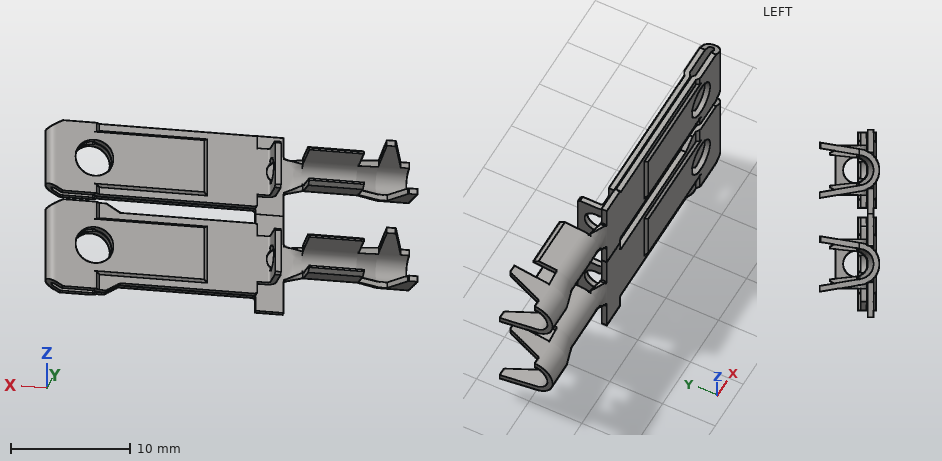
import cadquery as cq
import math


SHEET = 0.5
FOLD_GAP = 0.1
FOLD_Y = SHEET + FOLD_GAP / 2
BACK_Y = SHEET + FOLD_GAP

PITCH = 7.85
CARRIER_BOTTOM = -4.47
CARRIER_SPLIT = 4.22
CARRIER_TOP = 11.27

INSULATION_LENGTH = 2.65
INSULATION_RADIUS = 1.77
INSULATION_SPLAY = 9.5
INSULATION_BOTTOM = -0.5
INSULATION_TOP = 4.53
INSULATION_BASE = 1.2
CLAW_FOOT_INSET = 0.75
CLAW_WIDTH = 0.8
CLAW_CORNER = 0.1

CONDUCTOR_START = 4.4
CONDUCTOR_END = 9.1
CONDUCTOR_RADIUS = 1.55
CONDUCTOR_SPLAY = 6.0
CONDUCTOR_TOP = 3.65
CONDUCTOR_BASE = 1.43
WING_BEVEL_LENGTH = 0.5
WING_BEVEL_DEPTH = 0.28
NECK_HALF_ANGLE = 64.0

CARRIER_START = 10.62
CARRIER_END = 13.0
NECK_HALF_WIDTH = 1.52
CORNER = 0.2
BLADE_END = 31.05
BLADE_HALF_WIDTH = 3.17
WIDE_TIP_HALF_WIDTH = 3.9
FLARE_START = 24.75
FLARE_END = 25.95
TIP_CHAMFER_START = 29.7
TIP_CHAMFER_DEPTH = 0.75
HOLE_X = 27.0
HOLE_RADIUS = 1.6

PAD_HEIGHT = 0.233
PAD_START = 17.3
PAD_END = 27.0
PAD_END_BEVEL = 0.3
PAD_SIDE_BEVEL = 0.22
PAD_HALF_WIDTH = 2.55
STEP_START = 26.55
STEP_BEND = 26.82
STEP_BEND_HEIGHT = 0.2
STEP_OFFSET = 0.12
TIP_RADIUS = FOLD_Y + PAD_HEIGHT
TIP_CENTER_X = BLADE_END - TIP_RADIUS

TAB_X = 11.42
TAB_TOP = 3.2
TAB_HALF_WIDTH = 2.08
TAB_BEND_RADIUS = 0.68
TAB_CHAMFER = 0.22
TAB_HOLE_RADIUS = 1.1
TAB_HOLE_Y = 1.45
LEAF_HOLE_X = 11.1


def sheet_piece(outline, y_start, thickness):
    """Extrude a closed XZ outline towards +Y."""
    return cq.Workplane("XZ", origin=(0, y_start, 0)).polyline(outline).close().extrude(-thickness)


def mirrored(upper_half):
    """Close an outline with its mirror image below the terminal axis."""
    return upper_half + [(x, -z) for x, z in reversed(upper_half)]



def trough_section(plane, radius, splay, bottom, top):
    """Draw a U of sheet thickness whose straight walls lean outward by `splay` degrees."""
    angle = math.radians(splay)
    center = bottom + radius
    inner = radius - SHEET

    def tangent(r):
        return center - r * math.sin(angle), r * math.cos(angle)

    def wall_end(r):
        y, z = tangent(r)
        return top, z + (top - y) * math.tan(angle)

    def below(point):
        return point[0], -point[1]

    return (
        plane.moveTo(*wall_end(radius))
        .lineTo(*tangent(radius))
        .threePointArc((bottom, 0), below(tangent(radius)))
        .lineTo(*below(wall_end(radius)))
        .lineTo(*below(wall_end(inner)))
        .lineTo(*below(tangent(inner)))
        .threePointArc((bottom + SHEET, 0), tangent(inner))
        .lineTo(*wall_end(inner))
        .close()
    )


def insulation_section(plane, top):
    return trough_section(plane, INSULATION_RADIUS, INSULATION_SPLAY, INSULATION_BOTTOM, top)


def conductor_section(plane, top):
    return trough_section(plane, CONDUCTOR_RADIUS, CONDUCTOR_SPLAY, 0, top)


def insulation_crimp():
    """Trough with two staggered claws, one at each end of its length."""
    crimp = insulation_section(cq.Workplane("YZ"), INSULATION_TOP).extrude(INSULATION_LENGTH)
    claw_start = INSULATION_LENGTH - CLAW_WIDTH
    upper_relief = (
        cq.Workplane("XY")
        .polyline([
            (0, INSULATION_BASE),
            (CLAW_FOOT_INSET, INSULATION_BASE),
            (claw_start, INSULATION_TOP - CLAW_CORNER),
            (claw_start + CLAW_CORNER, INSULATION_TOP),
            (0, INSULATION_TOP),
        ])
        .close()
        .extrude(2 * INSULATION_RADIUS)
    )
    middle_x = INSULATION_LENGTH / 2
    lower_relief = upper_relief.rotate((middle_x, 0, 0), (middle_x, 1, 0), 180)
    return crimp.cut(upper_relief).cut(lower_relief)


def insulation_transition():
    """Trough that narrows and rises from the insulation crimp to the conductor crimp."""
    start = insulation_section(cq.Workplane("YZ", origin=(INSULATION_LENGTH, 0, 0)), INSULATION_BASE)
    end = start.workplane(offset=CONDUCTOR_START - INSULATION_LENGTH)
    return conductor_section(end, CONDUCTOR_BASE).loft(ruled=True)


def conductor_crimp():
    """Open barrel with the outer edges of its two wings bevelled."""
    length = CONDUCTOR_END - CONDUCTOR_START
    plane = cq.Workplane("YZ", origin=(CONDUCTOR_START, 0, 0))
    crimp = conductor_section(plane, CONDUCTOR_TOP).extrude(length)
    angle = math.radians(CONDUCTOR_SPLAY)
    bevel_start = CONDUCTOR_TOP - WING_BEVEL_LENGTH
    tangent_y = CONDUCTOR_RADIUS * (1 - math.sin(angle))
    outer_z = CONDUCTOR_RADIUS * math.cos(angle) + (bevel_start - tangent_y) * math.tan(angle)
    bevel = (
        cq.Workplane("YZ", origin=(CONDUCTOR_START, 0, 0))
        .polyline([
            (bevel_start, outer_z),
            (CONDUCTOR_TOP, outer_z - WING_BEVEL_DEPTH),
            (CONDUCTOR_TOP, outer_z + WING_BEVEL_DEPTH),
            (bevel_start, outer_z + WING_BEVEL_DEPTH),
        ])
        .close()
        .extrude(length)
    )
    return crimp.cut(bevel).cut(bevel.mirror("XY"))


def carrier_transition():
    """Sheet that flattens from the conductor arc to the straight edge of the carrier."""
    angle = math.radians(NECK_HALF_ANGLE)

    def arc_end(r):
        return CONDUCTOR_RADIUS - r * math.cos(angle), r * math.sin(angle)

    outer_y, outer_z = arc_end(CONDUCTOR_RADIUS)
    inner_y, inner_z = arc_end(CONDUCTOR_RADIUS - SHEET)
    return (
        cq.Workplane("YZ", origin=(CONDUCTOR_END, 0, 0))
        .moveTo(outer_y, outer_z)
        .threePointArc((0, 0), (outer_y, -outer_z))
        .lineTo(inner_y, -inner_z)
        .threePointArc((SHEET, 0), (inner_y, inner_z))
        .close()
        .workplane(offset=CARRIER_START - CONDUCTOR_END)
        .moveTo(0, NECK_HALF_WIDTH)
        .lineTo(0, -NECK_HALF_WIDTH)
        .lineTo(SHEET, -NECK_HALF_WIDTH)
        .lineTo(SHEET, NECK_HALF_WIDTH)
        .close()
        .loft(ruled=True)
    )



def root_fillet(corner_x, corner_z, side_x, side_z):
    """Fill a concave blank corner; the sides give the directions of the open quadrant."""
    end_x = corner_x + side_x * CORNER
    end_z = corner_z + side_z * CORNER
    bulge = CORNER * (1 - math.sqrt(0.5))
    return (
        cq.Workplane("XZ")
        .moveTo(corner_x, corner_z)
        .lineTo(end_x, corner_z)
        .threePointArc((corner_x + side_x * bulge, corner_z + side_z * bulge), (corner_x, end_z))
        .close()
        .extrude(-SHEET)
    )


def carrier(bottom, top):
    """Flat strip across the terminal, rounded where the neck and the blade leave it."""
    strip = sheet_piece(
        [(CARRIER_START, bottom), (CARRIER_END, bottom), (CARRIER_END, top), (CARRIER_START, top)],
        0, SHEET,
    )
    for side in (1, -1):
        strip = strip.union(root_fillet(CARRIER_START, side * NECK_HALF_WIDTH, -1, side))
        strip = strip.union(root_fillet(CARRIER_END, side * BLADE_HALF_WIDTH, 1, side))
    return strip


def folded_strip(half_width):
    """Sheet folded back on itself, its leaves spreading apart before the round fold."""
    inner_radius = TIP_RADIUS - SHEET

    def back(y):
        return 2 * FOLD_Y - y

    outer = [
        (CARRIER_END, 0),
        (STEP_START, 0),
        (STEP_BEND, -STEP_BEND_HEIGHT),
        (PAD_END, -PAD_HEIGHT),
        (TIP_CENTER_X, -PAD_HEIGHT),
    ]
    inner = [
        (TIP_CENTER_X, SHEET - PAD_HEIGHT),
        (STEP_BEND + STEP_OFFSET, SHEET - PAD_HEIGHT),
        (STEP_START + STEP_OFFSET, SHEET),
        (CARRIER_END, SHEET),
    ]
    profile = cq.Workplane("XY", origin=(0, 0, -half_width)).polyline(outer)
    profile = profile.threePointArc((BLADE_END, FOLD_Y), (TIP_CENTER_X, back(-PAD_HEIGHT)))
    for x, y in reversed(outer[:-1]):
        profile = profile.lineTo(x, back(y))
    for x, y in reversed(inner):
        profile = profile.lineTo(x, back(y))
    profile = profile.threePointArc((TIP_CENTER_X + inner_radius, FOLD_Y), inner[0])
    for x, y in inner[1:]:
        profile = profile.lineTo(x, y)
    return profile.close().extrude(2 * half_width)


def blade_outline(tip_half_width):
    """Blade seen square on: optional flare to a wider tip, then chamfered corners."""
    half = [(CARRIER_END, BLADE_HALF_WIDTH)]
    if tip_half_width > BLADE_HALF_WIDTH:
        half += [(FLARE_START, BLADE_HALF_WIDTH), (FLARE_END, tip_half_width)]
    half += [(TIP_CHAMFER_START, tip_half_width), (BLADE_END, tip_half_width - TIP_CHAMFER_DEPTH)]
    return sheet_piece(mirrored(half), -PAD_HEIGHT, 2 * TIP_RADIUS)


def pad():
    """Raised pad on the front leaf, bevelled at its start and along both sides."""
    lengthwise = (
        cq.Workplane("XY", origin=(0, 0, -PAD_HALF_WIDTH))
        .polyline([
            (PAD_START, 0),
            (PAD_START + PAD_END_BEVEL, -PAD_HEIGHT),
            (PAD_END, -PAD_HEIGHT),
            (PAD_END, 0),
        ])
        .close()
        .extrude(2 * PAD_HALF_WIDTH)
    )
    top_half_width = PAD_HALF_WIDTH - PAD_SIDE_BEVEL
    crosswise = (
        cq.Workplane("YZ", origin=(PAD_START, 0, 0))
        .polyline([
            (0, PAD_HALF_WIDTH),
            (-PAD_HEIGHT, top_half_width),
            (-PAD_HEIGHT, -top_half_width),
            (0, -PAD_HALF_WIDTH),
        ])
        .close()
        .extrude(PAD_END - PAD_START)
    )
    return lengthwise.intersect(crosswise)


def blade(tip_half_width):
    """Folded blade with a pad on each face and a hole through both leaves."""
    body = folded_strip(tip_half_width).intersect(blade_outline(tip_half_width))
    back_corners = cq.selectors.BoxSelector(
        (CARRIER_END - CORNER, BACK_Y, -tip_half_width),
        (CARRIER_END + CORNER, BACK_Y + SHEET, tip_half_width),
    )
    body = body.edges("|Y").edges(back_corners).fillet(CORNER)
    front_pad = pad()
    body = body.union(front_pad).union(front_pad.mirror("XZ", (0, FOLD_Y, 0)))
    hole = (
        cq.Workplane("XZ", origin=(HOLE_X, -PAD_HEIGHT, 0))
        .circle(HOLE_RADIUS)
        .extrude(-2 * TIP_RADIUS)
    )
    return body.cut(hole)


def tab():
    """Upright tab bent from the end of the back leaf, with a hole that runs round the bend."""
    bend_x = TAB_X + TAB_BEND_RADIUS
    bend_y = BACK_Y + TAB_BEND_RADIUS
    inner_radius = TAB_BEND_RADIUS - SHEET
    diagonal = math.sqrt(0.5)
    strip = (
        cq.Workplane("XY", origin=(0, 0, -TAB_HALF_WIDTH))
        .moveTo(CARRIER_END, BACK_Y)
        .lineTo(bend_x, BACK_Y)
        .threePointArc(
            (bend_x - TAB_BEND_RADIUS * diagonal, bend_y - TAB_BEND_RADIUS * diagonal),
            (TAB_X, bend_y),
        )
        .lineTo(TAB_X, TAB_TOP)
        .lineTo(TAB_X + SHEET, TAB_TOP)
        .lineTo(TAB_X + SHEET, bend_y)
        .threePointArc(
            (bend_x - inner_radius * diagonal, bend_y - inner_radius * diagonal),
            (bend_x, BACK_Y + SHEET),
        )
        .lineTo(CARRIER_END, BACK_Y + SHEET)
        .close()
        .extrude(2 * TAB_HALF_WIDTH)
    )
    strip = strip.faces(">Y").edges("|X").chamfer(TAB_CHAMFER)
    tab_hole = (
        cq.Workplane("YZ", origin=(TAB_X, TAB_HOLE_Y, 0))
        .circle(TAB_HOLE_RADIUS)
        .extrude(SHEET)
    )
    leaf_hole = (
        cq.Workplane("XZ", origin=(LEAF_HOLE_X, BACK_Y, 0))
        .circle(TAB_HOLE_RADIUS)
        .extrude(-TAB_BEND_RADIUS)
    )
    return strip.cut(tab_hole).cut(leaf_hole)


def terminal(axis_z, carrier_bottom, carrier_top, tip_half_width):
    """One complete terminal, its crimp axis at height `axis_z`."""
    body = carrier(carrier_bottom - axis_z, carrier_top - axis_z)
    parts = [
        carrier_transition(),
        conductor_crimp(),
        insulation_transition(),
        insulation_crimp(),
        blade(tip_half_width),
        tab(),
    ]
    for part in parts:
        body = body.union(part)
    return body.translate((0, 0, axis_z))


wide_terminal = terminal(0, CARRIER_BOTTOM, CARRIER_SPLIT, WIDE_TIP_HALF_WIDTH)
narrow_terminal = terminal(PITCH, CARRIER_SPLIT, CARRIER_TOP, BLADE_HALF_WIDTH)

result = cq.Compound.makeCompound([wide_terminal.val(), narrow_terminal.val()])